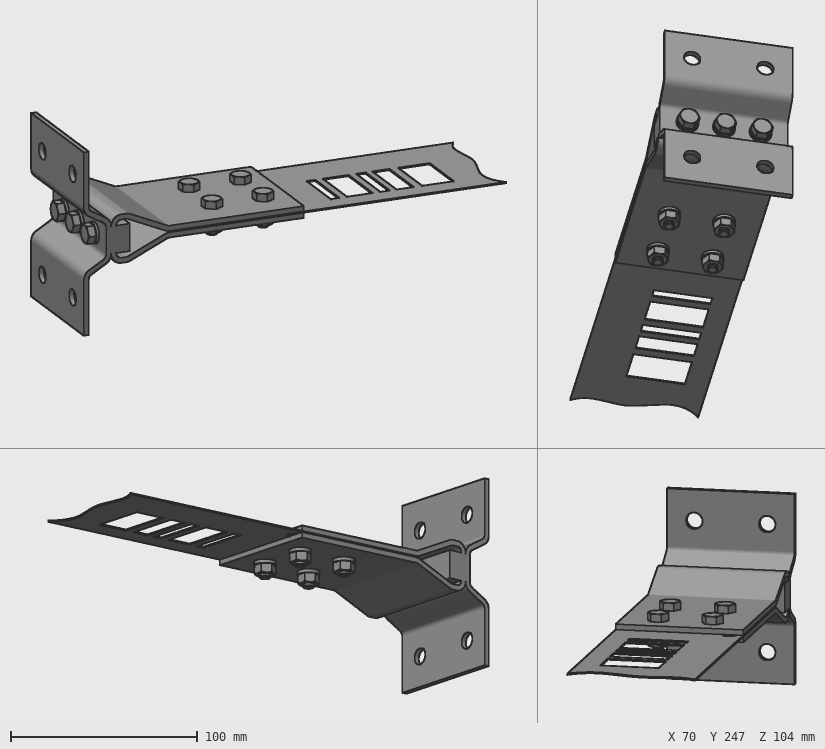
import cadquery as cq
import math


width = 70.0
sheet = 3.0
inner_radius = 3.0
outer_radius = inner_radius + sheet
mean_radius = inner_radius + sheet / 2
bend_radii = inner_radius + outer_radius

bracket_height = 104.0
web_setback = 13.0
web_height = 15.6
bracket_bend = 60.0
mount_hole_diameter = 9.0
mount_hole_spacing_x = 40.0
mount_hole_spacing_z = 70.0

strap_front = web_setback + sheet
strap_end = 128.75
strap_bend = 24.0
loop_flat = 2.8
block_depth = 8.0

tongue_thickness = 0.8
tongue_end = 247.04
wave_points = [(-25.5, 243.6), (-6.0, 245.4), (20.0, 239.9)]
window_left = -9.5
window_width = 32.0
window_spans = [(150.0, 155.0), (159.5, 174.5), (179.0, 184.5), (188.5, 198.5), (203.5, 222.0)]
notch_diameter = 7.0
notch_x = -27.5

bolt_diameter = 6.0
hex_across_flats = 10.0
hex_across_corners = hex_across_flats / math.cos(math.radians(30))
hex_bevel_width = (hex_across_corners - hex_across_flats) / 2
hex_bevel_height = hex_bevel_width * math.tan(math.radians(30))
head_height = 4.4
nut_height = 5.0
washer_diameter = 12.0
nut_washer_thickness = 2.0
head_washer_thickness = 1.6
bolt_tip = 2.0
bolt_tip_chamfer = 0.7
tail_bolt_spacing = 30.0
tail_bolt_end_margin = 15.0
web_bolt_spacing = 20.0

tail_outer_z = tongue_thickness / 2 + sheet

strap_bend_rad = math.radians(strap_bend)
loop_outer_z = web_height / 2 + outer_radius
arm_rise = loop_outer_z - tail_outer_z
arm_length = (arm_rise - bend_radii * (1 - math.cos(strap_bend_rad))) / math.sin(strap_bend_rad)
arm_reach = bend_radii * math.sin(strap_bend_rad) + arm_length * math.cos(strap_bend_rad)
tail_start = strap_front + outer_radius + loop_flat + arm_reach

web_bolt_x = [-web_bolt_spacing, 0.0, web_bolt_spacing]
last_bolt_y = strap_end - tail_bolt_end_margin
tail_bolt_centres = [
    (x, y)
    for x in (-tail_bolt_spacing / 2, tail_bolt_spacing / 2)
    for y in (last_bolt_y - tail_bolt_spacing, last_bolt_y)
]


def bent_sheet(y, z, heading, steps):
    """Sheet of constant thickness whose centreline starts at (y, z) and follows the steps.

    The heading is an angle in degrees from +Y towards +Z. A step is ("run", length) or
    ("bend", angle), where a positive angle turns the heading from +Y towards +Z.
    """

    def point_to_left(distance):
        normal = math.radians(heading + 90)
        return (y + distance * math.cos(normal), z + distance * math.sin(normal))

    half = sheet / 2
    left_sections = [(None, point_to_left(half))]
    right_sections = []
    for kind, amount in steps:
        right_begin = point_to_left(-half)
        left_middle, right_middle = None, None
        if kind == "run":
            y += amount * math.cos(math.radians(heading))
            z += amount * math.sin(math.radians(heading))
        else:
            turn_radius = math.copysign(mean_radius, amount)
            y, z = point_to_left(turn_radius)
            heading += amount / 2
            left_middle = point_to_left(half - turn_radius)
            right_middle = point_to_left(-half - turn_radius)
            heading += amount / 2
            y, z = point_to_left(-turn_radius)
        left_sections.append((left_middle, point_to_left(half)))
        right_sections.append((right_middle, right_begin))

    sections = left_sections + [(None, point_to_left(-half))] + right_sections[::-1]
    start = sections[0][1]
    outline = cq.Workplane("YZ", origin=(-width / 2, 0, 0)).moveTo(*start)
    for middle, end in sections[1:]:
        outline = outline.threePointArc(middle, end) if middle else outline.lineTo(*end)
    return outline.close().extrude(width)


def make_bracket():
    bend = math.radians(bracket_bend)
    leg = (web_setback - bend_radii * (1 - math.cos(bend))) / math.sin(bend)
    flange_root_z = web_height / 2 + bend_radii * math.sin(bend) + leg * math.cos(bend)
    flange = bracket_height / 2 - flange_root_z
    upper_steps = [("run", flange), ("bend", bracket_bend), ("run", leg), ("bend", -bracket_bend)]
    lower_steps = upper_steps[::-1]
    steps = upper_steps + [("run", web_height)] + lower_steps
    bracket = bent_sheet(sheet / 2, bracket_height / 2, -90, steps)
    holes = (
        cq.Workplane("XZ")
        .rarray(mount_hole_spacing_x, mount_hole_spacing_z, 2, 2)
        .circle(mount_hole_diameter / 2)
        .extrude(-sheet)
    )
    return bracket.cut(holes)


def make_strap():
    tail = strap_end - tail_start
    upper_steps = [
        ("run", tail),
        ("bend", -strap_bend),
        ("run", arm_length),
        ("bend", strap_bend),
        ("run", loop_flat),
        ("bend", 90),
    ]
    steps = upper_steps + [("run", web_height)] + upper_steps[::-1]
    return bent_sheet(strap_end, tail_outer_z - sheet / 2, 180, steps)


def make_block():
    centre_y = strap_front + sheet + block_depth / 2
    return cq.Workplane("XY").box(width, block_depth, web_height).translate((0, centre_y, 0))


def hex_prism(height):
    """Hexagon standing on Z = 0 with corners along X and bevelled corners at its top."""
    prism = cq.Workplane("XY").polygon(6, hex_across_corners).extrude(height)
    bevel = cq.Workplane("XY").circle(hex_across_corners / 2).extrude(height)
    bevel = bevel.faces(">Z").edges().chamfer(hex_bevel_height, hex_bevel_width)
    return prism.intersect(bevel)


def hex_on_washer(hex_height, washer_thickness):
    """Washer standing on Z = 0 with a hexagon on top of it."""
    washer = cq.Workplane("XY").circle(washer_diameter / 2).extrude(washer_thickness)
    return washer.union(hex_prism(hex_height).translate((0, 0, washer_thickness)))


def make_tail_bolt():
    """Bolt along Z through the strap tails: head above, washer, nut and bolt tip below."""
    head = hex_prism(head_height).translate((0, 0, tail_outer_z))
    nut_stack = hex_on_washer(nut_height, nut_washer_thickness)
    nut_stack = nut_stack.rotate((0, 0, 0), (1, 0, 0), 180).translate((0, 0, -tail_outer_z))
    shank_end = -(tail_outer_z + nut_washer_thickness + nut_height + bolt_tip)
    shank = (
        cq.Workplane("XY")
        .workplane(offset=shank_end)
        .circle(bolt_diameter / 2)
        .extrude(tail_outer_z - shank_end)
        .faces("<Z")
        .chamfer(bolt_tip_chamfer)
    )
    return head.union(shank).union(nut_stack).val()


def make_web_bolt():
    """Bolt head on a washer against the web, pointing along -Y."""
    head = hex_on_washer(head_height, head_washer_thickness)
    return head.rotate((0, 0, 0), (1, 0, 0), 90).translate((0, web_setback, 0)).val()


def make_clamp():
    """Bracket, strap, block and bolts joined into one body."""
    clamp = make_bracket().union(make_strap()).union(make_block())
    web_bolt = make_web_bolt()
    for x in web_bolt_x:
        clamp = clamp.union(web_bolt.translate((x, 0, 0)))
    tail_bolt = make_tail_bolt()
    for x, y in tail_bolt_centres:
        clamp = clamp.union(tail_bolt.translate((x, y, 0)))
    return clamp


def make_tongue():
    """Thin strip held between the strap tails, with a row of windows and a wavy far edge."""
    left, right = -width / 2, width / 2
    plane = cq.Workplane("XY").workplane(offset=-tongue_thickness / 2)
    tongue = (
        plane.moveTo(right, tongue_end)
        .lineTo(right, tail_start)
        .lineTo(left, tail_start)
        .lineTo(left, tongue_end)
        .spline(wave_points + [(right, tongue_end)], includeCurrent=True)
        .close()
        .extrude(tongue_thickness)
    )
    for near_y, far_y in window_spans:
        window = plane.moveTo(window_left, near_y).rect(window_width, far_y - near_y, centered=False)
        tongue = tongue.cut(window.extrude(tongue_thickness))
    notch = plane.moveTo(notch_x, strap_end).circle(notch_diameter / 2).extrude(tongue_thickness)
    bolt_holes = plane.pushPoints(tail_bolt_centres).circle(bolt_diameter / 2).extrude(tongue_thickness)
    return tongue.cut(notch).cut(bolt_holes)


clamp = make_clamp()
tongue = make_tongue()
result = cq.Compound.makeCompound([clamp.val(), tongue.val()])